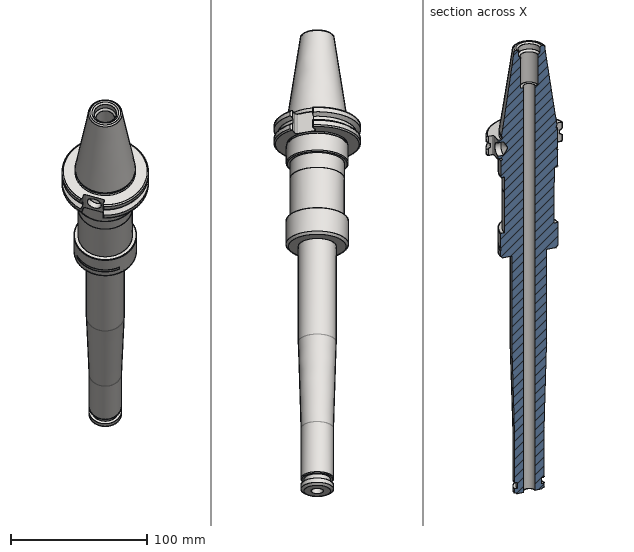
import cadquery as cq
import math


GAUGE_DIA = 44.45
TAPER_RATIO = 7 / 24
TAPER_LENGTH = 68.4
TAPER_EDGE_CHAMFER = 1.0

UNDERCUT_DIA = 43.0
UNDERCUT_FLARE = 0.8

FLANGE_DIA = 63.55
FLANGE_TOP = -3.2
FLANGE_BOTTOM = -19.1
FLANGE_CHAMFER = 1.0
GROOVE_CENTER = -11.1
GROOVE_MOUTH_WIDTH = 7.0
GROOVE_FLOOR_DIA = 57.4
GROOVE_FLOOR_WIDTH = 2.6

SLOT_WIDTH = 16.1
SLOT_FLOOR_FRONT = 25.0
SLOT_FLOOR_BACK = 22.6
SLOT_EDGE_CHAMFER = 1.55
SLOT_CORNER_RADIUS = 1.0

POCKET_DIA = 10.7
POCKET_DEPTH = 4.6
DRILL_POINT_ANGLE = 118

NECK_DIA = 43.0
COLLAR_TOP = -20.8
COLLAR_BOTTOM = -35.2
COLLAR_DIA = 45.5
COLLAR_CHAMFER = 0.8
BODY_DIA = 40.2
BODY_STEP_DIA = 40.0
BODY_STEP_Z = -47.2

NUT_TOP = -81.0
NUT_BOTTOM = -102.0
NUT_DIA = 46.0
NUT_TOP_CHAMFER = 0.4
NUT_BOTTOM_CHAMFER = 1.8

BAND_CENTER = -94.3
BAND_WIDTH = 2.3
BAND_DEPTH = 0.15
BAND_ANGLE = 92

SHANK_DIA = 28.0
SHANK_TAPER_START = -179.5
SHANK_TAPER_END = -249.5
TIP_DIA = 24.0
TIP_BOTTOM = -300.15
TIP_END_DIA = 19.5
TIP_CHAMFER_HEIGHT = 1.4
TIP_GROOVE_TOP = -290.8
TIP_GROOVE_BOTTOM = -295.3
TIP_GROOVE_DIA = 19.5
TIP_GROOVE_CHAMFER = 0.7

THROUGH_DIA = 9.0
MOUTH_DIA = 19.5
MOUTH_DEPTH = 1.0
PILOT_DIA = 16.5
PILOT_DEPTH = 5.4
THREAD_DIA = 13.53
THREAD_DEPTH = 32.0

MARGIN = 1.0


def revolve_outline(outline):
    """Turn (diameter, height) points, listed from top to bottom, into a solid about Z."""
    points = [(dia / 2, z) for dia, z in outline]
    closed = [(0, points[0][1])] + points + [(0, points[-1][1])]
    return cq.Workplane("XZ").polyline(closed).close().revolve(360, (0, 0, 0), (0, 1, 0))


def taper_outline():
    end_dia = GAUGE_DIA - TAPER_LENGTH * TAPER_RATIO
    shoulder_dia = end_dia + TAPER_EDGE_CHAMFER * TAPER_RATIO
    return [
        (end_dia - 2 * TAPER_EDGE_CHAMFER, TAPER_LENGTH),
        (shoulder_dia, TAPER_LENGTH - TAPER_EDGE_CHAMFER),
        (GAUGE_DIA, 0),
        (UNDERCUT_DIA, FLANGE_TOP + UNDERCUT_FLARE),
        (UNDERCUT_DIA + 2 * UNDERCUT_FLARE, FLANGE_TOP),
    ]


def flange_outline():
    half_floor = GROOVE_FLOOR_WIDTH / 2
    half_mouth = GROOVE_MOUTH_WIDTH / 2
    face_dia = FLANGE_DIA - 2 * FLANGE_CHAMFER
    return [
        (face_dia, FLANGE_TOP),
        (FLANGE_DIA, FLANGE_TOP - FLANGE_CHAMFER),
        (FLANGE_DIA, GROOVE_CENTER + half_mouth),
        (GROOVE_FLOOR_DIA, GROOVE_CENTER + half_floor),
        (GROOVE_FLOOR_DIA, GROOVE_CENTER - half_floor),
        (FLANGE_DIA, GROOVE_CENTER - half_mouth),
        (FLANGE_DIA, FLANGE_BOTTOM + FLANGE_CHAMFER),
        (face_dia, FLANGE_BOTTOM),
    ]


def body_outline():
    collar_face_dia = COLLAR_DIA - 2 * COLLAR_CHAMFER
    return [
        (NECK_DIA + 2 * UNDERCUT_FLARE, FLANGE_BOTTOM),
        (NECK_DIA, FLANGE_BOTTOM - UNDERCUT_FLARE),
        (COLLAR_DIA, COLLAR_TOP),
        (COLLAR_DIA, COLLAR_BOTTOM + COLLAR_CHAMFER),
        (collar_face_dia, COLLAR_BOTTOM),
        (BODY_DIA, COLLAR_BOTTOM),
        (BODY_DIA, BODY_STEP_Z),
        (BODY_STEP_DIA, BODY_STEP_Z),
        (BODY_STEP_DIA, NUT_TOP),
    ]


def nut_outline():
    return [
        (NUT_DIA - 2 * NUT_TOP_CHAMFER, NUT_TOP),
        (NUT_DIA, NUT_TOP - NUT_TOP_CHAMFER),
        (NUT_DIA, NUT_BOTTOM + NUT_BOTTOM_CHAMFER),
        (NUT_DIA - 2 * NUT_BOTTOM_CHAMFER, NUT_BOTTOM),
    ]


def shank_outline():
    return [
        (SHANK_DIA, NUT_BOTTOM),
        (SHANK_DIA, SHANK_TAPER_START),
        (TIP_DIA, SHANK_TAPER_END),
        (TIP_DIA, TIP_GROOVE_TOP + TIP_GROOVE_CHAMFER),
        (TIP_DIA - 2 * TIP_GROOVE_CHAMFER, TIP_GROOVE_TOP),
        (TIP_GROOVE_DIA, TIP_GROOVE_TOP),
        (TIP_GROOVE_DIA, TIP_GROOVE_BOTTOM),
        (TIP_DIA, TIP_GROOVE_BOTTOM),
        (TIP_DIA, TIP_BOTTOM + TIP_CHAMFER_HEIGHT),
        (TIP_END_DIA, TIP_BOTTOM),
    ]


def drive_slot(floor_distance, side):
    """Cutter for one drive slot; side is +1 for +Y and -1 for -Y."""
    half = SLOT_WIDTH / 2
    rim = math.sqrt((FLANGE_DIA / 2) ** 2 - half ** 2)
    outside = FLANGE_DIA / 2 + MARGIN
    flare = half + SLOT_EDGE_CHAMFER + outside - rim
    chamfer_start = rim - SLOT_EDGE_CHAMFER
    outline = [
        (-half, side * floor_distance),
        (half, side * floor_distance),
        (half, side * chamfer_start),
        (flare, side * outside),
        (-flare, side * outside),
        (-half, side * chamfer_start),
    ]
    height = FLANGE_TOP - FLANGE_BOTTOM
    slot = cq.Workplane("XY", origin=(0, 0, FLANGE_BOTTOM)).polyline(outline).close().extrude(height)
    floor_corners = "|Z and <Y" if side > 0 else "|Z and >Y"
    return slot.edges(floor_corners).fillet(SLOT_CORNER_RADIUS)


def slot_pocket():
    """Drilled pocket with a conical bottom, running inward from the -Y slot floor."""
    radius = POCKET_DIA / 2
    point_depth = radius / math.tan(math.radians(DRILL_POINT_ANGLE / 2))
    outline = [
        (0, -SLOT_FLOOR_FRONT - MARGIN),
        (radius, -SLOT_FLOOR_FRONT - MARGIN),
        (radius, -SLOT_FLOOR_FRONT + POCKET_DEPTH),
        (0, -SLOT_FLOOR_FRONT + POCKET_DEPTH + point_depth),
    ]
    pocket = cq.Workplane("XY").polyline(outline).close().revolve(360, (0, 0, 0), (0, 1, 0))
    return pocket.translate((0, 0, GROOVE_CENTER))


def axial_bore():
    """Stepped bore: mouth, pilot and thread core from the taper end, then a through hole."""
    mouth_z = TAPER_LENGTH - MOUTH_DEPTH
    thread_lead_in = (PILOT_DIA - THREAD_DIA) / 2
    pilot_z = TAPER_LENGTH - PILOT_DEPTH
    thread_z = TAPER_LENGTH - THREAD_DEPTH
    return revolve_outline([
        (MOUTH_DIA, TAPER_LENGTH),
        (PILOT_DIA, mouth_z),
        (PILOT_DIA, pilot_z),
        (THREAD_DIA, pilot_z - thread_lead_in),
        (THREAD_DIA, thread_z),
        (THROUGH_DIA, thread_z),
        (THROUGH_DIA, TIP_BOTTOM),
    ])


def nut_band():
    """Thin ring sector, centred on the -Y direction, sunk into the nut surface."""
    floor_radius = NUT_DIA / 2 - BAND_DEPTH
    outer_radius = NUT_DIA / 2 + MARGIN
    lower = BAND_CENTER - BAND_WIDTH / 2
    upper = BAND_CENTER + BAND_WIDTH / 2
    outline = [(floor_radius, lower), (outer_radius, lower), (outer_radius, upper), (floor_radius, upper)]
    section = cq.Workplane("XZ").polyline(outline).close()
    sector = section.revolve(BAND_ANGLE, (0, 0, 0), (0, 1, 0))
    return sector.rotate((0, 0, 0), (0, 0, 1), -90 - BAND_ANGLE / 2)


holder = revolve_outline(
    taper_outline() + flange_outline() + body_outline() + nut_outline() + shank_outline()
)
holder = holder.cut(drive_slot(SLOT_FLOOR_FRONT, -1))
holder = holder.cut(drive_slot(SLOT_FLOOR_BACK, 1))
holder = holder.cut(slot_pocket())
holder = holder.cut(nut_band())
result = holder.cut(axial_bore())